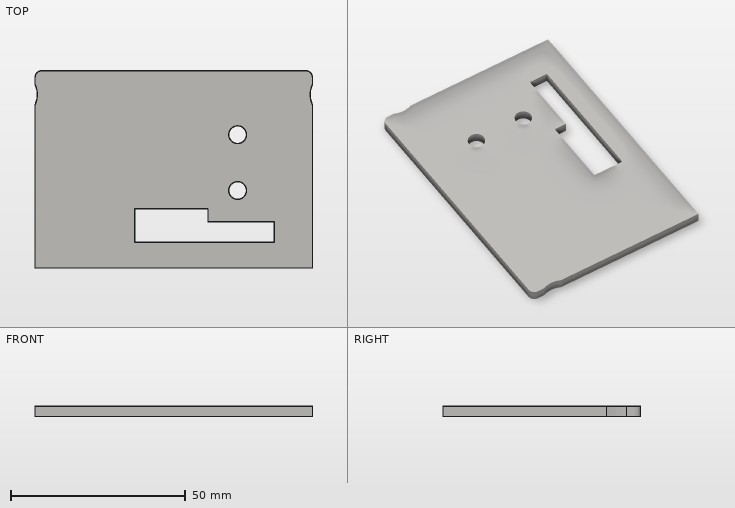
import cadquery as cq

length = 79.75
width = 56.8
thickness = 3.0
corner_radius = 2.0

notch_top_offset = 4.0
notch_chord = 5.8
notch_depth = 0.6

hole_diameter = 5.0
hole_x = 58.2
lower_hole_y = 22.3
hole_spacing = 16.0

window_left = 28.7
window_bottom = 7.5
window_length = 40.0
tall_length = 21.0
tall_height = 9.6
short_height = 5.8


def make_plate():
    plate = cq.Workplane("XY").box(length, width, thickness, centered=False)
    return plate.edges("|Z and >Y").fillet(corner_radius)


def make_notch(side_x):
    """Cylinder that cuts a shallow arc into the side at side_x."""
    radius = ((notch_chord / 2) ** 2 + notch_depth**2) / (2 * notch_depth)
    outward = 1 if side_x > length / 2 else -1
    center_x = side_x + outward * (radius - notch_depth)
    center_y = width - notch_top_offset - notch_chord / 2
    return cq.Workplane("XY").center(center_x, center_y).circle(radius).extrude(thickness)


def make_holes():
    centers = [(hole_x, lower_hole_y + i * hole_spacing) for i in range(2)]
    return cq.Workplane("XY").pushPoints(centers).circle(hole_diameter / 2).extrude(thickness)


def make_window():
    corner = cq.Workplane("XY").center(window_left, window_bottom)
    tall_part = corner.rect(tall_length, tall_height, centered=False).extrude(thickness)
    short_part = corner.rect(window_length, short_height, centered=False).extrude(thickness)
    return tall_part.union(short_part)


result = make_plate()
for side_x in (0, length):
    result = result.cut(make_notch(side_x))
result = result.cut(make_holes()).cut(make_window())